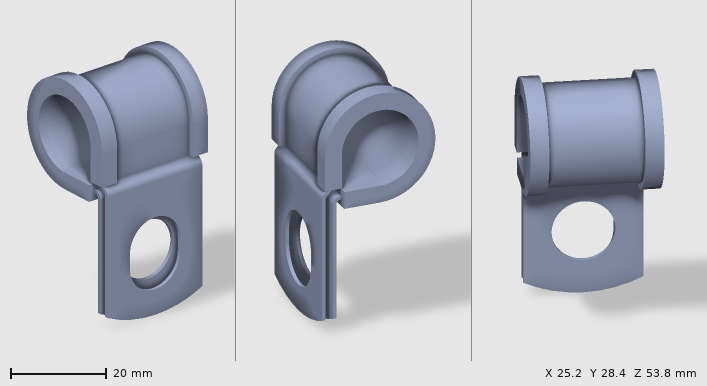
import cadquery as cq
import math

outer_radius = 12.6
bore_radius = 8.7
cushion_width = 28.45
rim_width = 4.05
upright_end_z = -7.75
floor_end_x = 8.2

strap_thickness = 0.8
strap_outer_radius = 11.05
strap_width = 25.45
strap_inner_radius = strap_outer_radius - strap_thickness
bend_outer_radius = 1.6
bend_inner_radius = bend_outer_radius - strap_thickness
jog_angle = math.radians(45)

overall_height = 53.85
tab_bottom_z = outer_radius - overall_height
inner_tab_face_x = 10.1
outer_tab_face_x = outer_radius
tip_arc_rise = 2.95
hole_diameter = 13.5
slot_length = 16.7
hole_height_above_tip = 14.25


def extrude_centered(sketch, width):
    """Extrude an XZ profile symmetrically about Y = 0."""
    return sketch.extrude(width / 2, both=True)


def open_loop(inner, outer, width):
    """Three-quarter ring with tangent straight ends, one downward and one toward +X."""
    diagonal = math.sqrt(0.5)
    profile = (
        cq.Workplane("XZ")
        .moveTo(outer, upright_end_z)
        .lineTo(outer, 0)
        .threePointArc((-outer * diagonal, outer * diagonal), (0, -outer))
        .lineTo(floor_end_x, -outer)
        .lineTo(floor_end_x, -inner)
        .lineTo(0, -inner)
        .threePointArc((-inner * diagonal, inner * diagonal), (inner, 0))
        .lineTo(inner, upright_end_z)
        .close()
    )
    return extrude_centered(profile, width)


def point_on_arc(center, radius, angle):
    return (center[0] + radius * math.cos(angle), center[1] + radius * math.sin(angle))


def inner_tab():
    """Strap leaving the loop floor and turning down through a right angle."""
    center = (inner_tab_face_x - bend_outer_radius, -strap_inner_radius - bend_outer_radius)
    middle = math.radians(45)
    profile = (
        cq.Workplane("XZ")
        .moveTo(floor_end_x, -strap_inner_radius)
        .lineTo(center[0], -strap_inner_radius)
        .threePointArc(point_on_arc(center, bend_outer_radius, middle), (inner_tab_face_x, center[1]))
        .lineTo(inner_tab_face_x, tab_bottom_z)
        .lineTo(inner_tab_face_x - strap_thickness, tab_bottom_z)
        .lineTo(inner_tab_face_x - strap_thickness, center[1])
        .threePointArc(
            point_on_arc(center, bend_inner_radius, middle),
            (center[0], -strap_outer_radius),
        )
        .lineTo(floor_end_x, -strap_outer_radius)
        .close()
    )
    return extrude_centered(profile, strap_width)


def outer_tab():
    """Strap leaving the loop upright and jogging outward through two opposite bends."""
    jog_offset = outer_tab_face_x - strap_outer_radius
    tangent_length = (bend_outer_radius + bend_inner_radius) / 2 * math.tan(jog_angle / 2)
    jog_drop = jog_offset / math.tan(jog_angle) + 2 * tangent_length
    upper_center = (strap_inner_radius + bend_outer_radius, upright_end_z)
    lower_center = (outer_tab_face_x - bend_outer_radius, upright_end_z - jog_drop)

    def upper(radius, turn):
        return point_on_arc(upper_center, radius, math.pi + turn)

    def lower(radius, turn):
        return point_on_arc(lower_center, radius, turn)

    half_turn = jog_angle / 2
    profile = (
        cq.Workplane("XZ")
        .moveTo(*upper(bend_inner_radius, 0))
        .threePointArc(upper(bend_inner_radius, half_turn), upper(bend_inner_radius, jog_angle))
        .lineTo(*lower(bend_outer_radius, jog_angle))
        .threePointArc(lower(bend_outer_radius, half_turn), lower(bend_outer_radius, 0))
        .lineTo(outer_tab_face_x, tab_bottom_z)
        .lineTo(outer_tab_face_x - strap_thickness, tab_bottom_z)
        .lineTo(*lower(bend_inner_radius, 0))
        .threePointArc(lower(bend_inner_radius, half_turn), lower(bend_inner_radius, jog_angle))
        .lineTo(*upper(bend_outer_radius, jog_angle))
        .threePointArc(upper(bend_outer_radius, half_turn), upper(bend_outer_radius, 0))
        .close()
    )
    return extrude_centered(profile, strap_width)


def tab_outline():
    """Block whose lower end is an arc, used to round the tips of both tabs."""
    half_width = strap_width / 2
    corner_z = tab_bottom_z + tip_arc_rise
    return (
        cq.Workplane("YZ")
        .moveTo(-half_width, 0)
        .lineTo(-half_width, corner_z)
        .threePointArc((0, tab_bottom_z), (half_width, corner_z))
        .lineTo(half_width, 0)
        .close()
        .extrude(outer_radius)
    )


def bolt_openings():
    """Round hole through the inner tab and an upright slot through the outer tab."""
    hole_plane = cq.Workplane("YZ").center(0, tab_bottom_z + hole_height_above_tip)
    round_hole = hole_plane.circle(hole_diameter / 2).extrude(outer_radius)
    slot = (
        hole_plane.workplane(offset=inner_tab_face_x)
        .slot2D(slot_length, hole_diameter, 90)
        .extrude(outer_radius - inner_tab_face_x)
    )
    return round_hole.union(slot)


loop = open_loop(bore_radius, strap_outer_radius, cushion_width)
rim_center_y = (cushion_width - rim_width) / 2
for side in (-1, 1):
    rim = open_loop(bore_radius, outer_radius, rim_width)
    loop = loop.union(rim.translate((0, side * rim_center_y, 0)))

tabs = inner_tab().union(outer_tab()).intersect(tab_outline()).cut(bolt_openings())
result = loop.union(tabs)